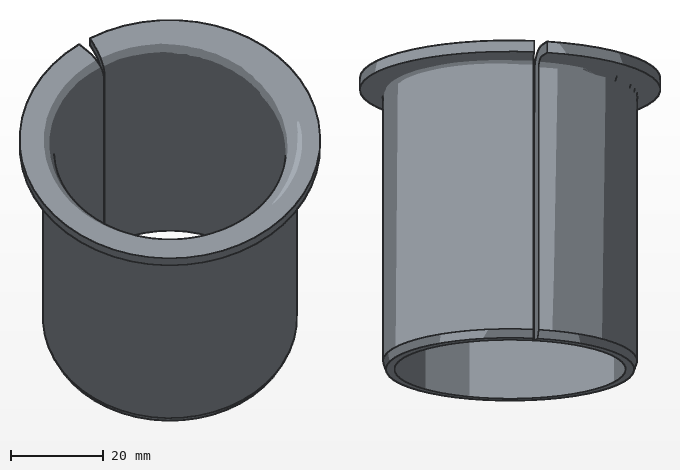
import cadquery as cq
import math

height = 65.0
flange_diameter = 65.0
sleeve_diameter = 55.0
bore_diameter = 50.0
under_flange_radius = 2.0
chamfer_height = 1.8
chamfer_angle = 20.0
slit_width_at_bore = 0.3
slit_width_at_rim = 2.85

flange_radius = flange_diameter / 2
sleeve_radius = sleeve_diameter / 2
bore_radius = bore_diameter / 2
wall = sleeve_radius - bore_radius
mouth_radius = under_flange_radius + wall
foot_radius = sleeve_radius - chamfer_height * math.tan(math.radians(chamfer_angle))
flange_underside = height - wall
bend_start = height - mouth_radius
cos_45 = math.sqrt(0.5)


def make_bushing():
    """Revolve the wall section, bent outwards into the flange at the top."""
    bend_center = bore_radius + mouth_radius
    outer_mid = (
        bend_center - under_flange_radius * cos_45,
        bend_start + under_flange_radius * cos_45,
    )
    mouth_mid = (
        bend_center - mouth_radius * cos_45,
        bend_start + mouth_radius * cos_45,
    )
    section = (
        cq.Workplane("XZ")
        .moveTo(bore_radius, 0)
        .lineTo(foot_radius, 0)
        .lineTo(sleeve_radius, chamfer_height)
        .lineTo(sleeve_radius, bend_start)
        .threePointArc(outer_mid, (bend_center, flange_underside))
        .lineTo(flange_radius, flange_underside)
        .lineTo(flange_radius, height)
        .lineTo(bend_center, height)
        .threePointArc(mouth_mid, (bore_radius, bend_start))
        .close()
    )
    bushing = section.revolve(360, (0, 0, 0), (0, 1, 0))
    return bushing.rotate((0, 0, 0), (0, 0, 1), 180)


def make_slit():
    """Full-height wedge on the -X side that widens outwards and splits the ring."""
    half_bore = slit_width_at_bore / 2
    half_rim = slit_width_at_rim / 2
    taper = (half_rim - half_bore) / (flange_radius - bore_radius)
    inner_x = bore_radius - half_bore / taper
    outer_x = flange_radius + wall
    half_outer = taper * (outer_x - inner_x)
    return (
        cq.Workplane("XY")
        .polyline([(-inner_x, 0), (-outer_x, half_outer), (-outer_x, -half_outer)])
        .close()
        .extrude(height)
    )


result = make_bushing().cut(make_slit())